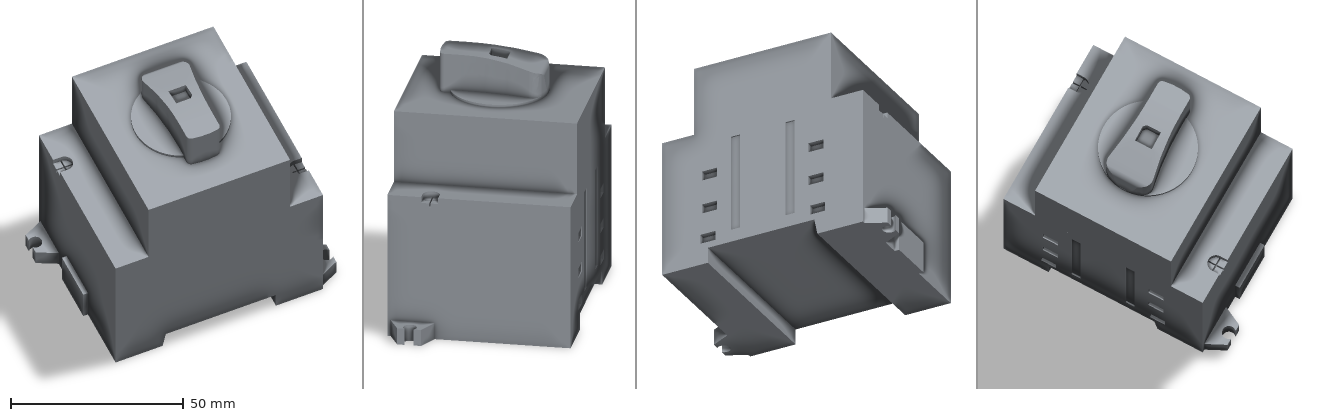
import cadquery as cq
import math

width = 54.0
depth = 66.0
total_depth = 78.0
total_height = 78.0
base_top = 15.0
module_height = 11.0
module_count = 2
flange_top = 44.0
block_top = 66.0
block_depth = 45.0
modules_top = base_top + module_count * module_height

notch_height = 5.0
notch_half = 18.0
notch_front_flare = 1.0
tab_width = 15.0
tab_height = 10.0
tab_thickness = 1.5
ear_thickness = notch_height
ear_offset = 19.5
ear_root_width = 13.0
ear_tip_width = 7.0
ear_length = (total_depth - depth) / 2
ear_hole_diameter = 4.0
ear_hole_from_tip = 1.5

window_width = 5.0
window_height = 3.0
window_depth = 2.0
base_window_offset = 18.0
base_window_z = 8.5
module_window_offset = 17.5
module_window_above_floor = 3.5
groove_width = 3.0
groove_offset = 9.0
groove_bottom = 9.0
groove_top = 40.0
groove_depth = 0.5

screw_offset = 14.5
screw_diameter = 5.0
screw_recess_depth = 1.8
cross_width = 0.5
cross_depth = 1.2

disc_diameter = 29.0
disc_height = 0.85
grip_nose_half = 7.8
grip_nose_fillet = 3.0
grip_tail_half = 5.2
grip_tail_start = 10.3
grip_tail_end = 17.15
grip_tail_bulge = 0.6
grip_tail_fillet = 1.5
grip_arch_radius = 74.1
nose_lean = 0.7
nose_edge_fillet = 2.0
grip_pocket_size = 5.5
grip_pocket_depth = 4.0
grip_pocket_corner = 0.9


def box(size_x, size_y, z_low, z_high):
    """Rectangular block centred on the Z axis."""
    return cq.Workplane("XY").workplane(offset=z_low).rect(size_x, size_y).extrude(z_high - z_low)


def side_pocket(y, z_low, z_high, pocket_width, pocket_cut):
    """Cutter for a rectangular pocket in the left (-X) face."""
    cutter = cq.Workplane("XY").box(pocket_cut, pocket_width, z_high - z_low, centered=(False, True, False))
    return cutter.translate((-width / 2, y, z_low))


def cut_side_details(body, window_y, window_z):
    """Cut the pair of windows centred at height window_z, then the grooves."""
    z_low = window_z - window_height / 2
    z_high = window_z + window_height / 2
    for side in (-1, 1):
        body = body.cut(side_pocket(side * window_y, z_low, z_high, window_width, window_depth))
    return cut_grooves(body)


def cut_grooves(body):
    """Cut the part of the two long vertical grooves that crosses this body."""
    for side in (-1, 1):
        body = body.cut(side_pocket(side * groove_offset, groove_bottom, groove_top, groove_width, groove_depth))
    return body


def make_ear():
    """Front mounting ear: tapered plate with a hole open at its tip."""
    root_y = -depth / 2
    tip_y = root_y - ear_length
    plate = (
        cq.Workplane("XY")
        .polyline([
            (-ear_offset - ear_root_width / 2, root_y),
            (-ear_offset - ear_tip_width / 2, tip_y),
            (-ear_offset + ear_tip_width / 2, tip_y),
            (-ear_offset + ear_root_width / 2, root_y),
        ])
        .close()
        .extrude(ear_thickness)
    )
    hole = (
        cq.Workplane("XY")
        .center(-ear_offset, tip_y + ear_hole_from_tip)
        .circle(ear_hole_diameter / 2)
        .extrude(ear_thickness)
    )
    return plate.cut(hole)


def make_tab():
    """Release tab standing on the front face of the base."""
    return box(tab_width, tab_thickness, 0, tab_height).translate((0, -(depth + tab_thickness) / 2, 0))


def make_base():
    """Bottom layer with the rail notch; its front notch wall flares outward going down."""
    base = box(width, depth, 0, base_top)
    notch = (
        cq.Workplane("YZ")
        .polyline([
            (notch_half, 0),
            (notch_half, notch_height),
            (-notch_half + notch_front_flare, notch_height),
            (-notch_half, 0),
        ])
        .close()
        .extrude(width / 2, both=True)
    )
    return cut_side_details(base.cut(notch), base_window_offset, base_window_z)


def make_module(z_low):
    """One middle layer of the stack."""
    module = box(width, depth, z_low, z_low + module_height)
    return cut_side_details(module, module_window_offset, z_low + module_window_above_floor)


def make_screw_recess():
    """Cutter for the front U-shaped recess with a cross slot in its floor."""
    radius = screw_diameter / 2
    centre_y = -depth / 2 + radius
    floor_z = flange_top - screw_recess_depth
    plane = cq.Workplane("XY").workplane(offset=floor_z).center(-screw_offset, centre_y)
    recess = plane.circle(radius).extrude(screw_recess_depth)
    recess = recess.union(plane.center(0, -radius / 2).rect(screw_diameter, radius).extrude(screw_recess_depth))
    recess = recess.union(plane.rect(cross_width, screw_diameter).extrude(-cross_depth))
    return recess.union(plane.rect(screw_diameter, cross_width).extrude(-cross_depth))


def make_flange():
    """Top layer of the stack with two diagonally opposite screw recesses."""
    flange = cut_grooves(box(width, depth, modules_top, flange_top))
    recess = make_screw_recess()
    for angle in (0, 180):
        flange = flange.cut(recess.rotate((0, 0, 0), (0, 0, 1), angle))
    return flange


def make_grip_plan():
    """Grip outline extruded to full height: rounded nose, flared waist and a straight tail."""
    nose_radius = disc_diameter / 2
    corner_x = -math.sqrt(nose_radius ** 2 - grip_nose_half ** 2)
    waist_length = grip_tail_start - corner_x
    waist_flare = grip_nose_half - grip_tail_half
    waist_radius = (waist_length ** 2 + waist_flare ** 2) / (2 * waist_flare)
    waist_mid_x = grip_tail_start - waist_length / 2
    waist_mid_half = grip_tail_half + waist_radius - math.sqrt(waist_radius ** 2 - (waist_length / 2) ** 2)
    tail_corner_x = grip_tail_end - grip_tail_bulge
    plan = (
        cq.Workplane("XY").workplane(offset=block_top)
        .moveTo(tail_corner_x, grip_tail_half)
        .threePointArc((grip_tail_end, 0), (tail_corner_x, -grip_tail_half))
        .lineTo(grip_tail_start, -grip_tail_half)
        .threePointArc((waist_mid_x, -waist_mid_half), (corner_x, -grip_nose_half))
        .threePointArc((-nose_radius, 0), (corner_x, grip_nose_half))
        .threePointArc((waist_mid_x, waist_mid_half), (grip_tail_start, grip_tail_half))
        .close()
        .extrude(total_height - block_top)
    )
    plan = plan.edges("|Z").edges("<X").fillet(grip_nose_fillet)
    return plan.edges("|Z").edges(">X").fillet(grip_tail_fillet)


def make_grip_profile():
    """Side profile of the grip: leaning nose, rounded edge, long arch and a flat tail."""
    nose_x = -disc_diameter / 2
    nose_top_x = nose_x + nose_lean
    arch_length = grip_tail_start - nose_top_x
    arch_centre_z = total_height - grip_arch_radius

    def arch_z(x):
        """Height of the arch, which ends level with the tail."""
        return arch_centre_z + math.sqrt(grip_arch_radius ** 2 - (grip_tail_start - x) ** 2)

    arch_mid_x = grip_tail_start - arch_length / 2
    profile = (
        cq.Workplane("XZ")
        .moveTo(nose_x, block_top)
        .lineTo(nose_top_x, arch_z(nose_top_x))
        .threePointArc((arch_mid_x, arch_z(arch_mid_x)), (grip_tail_start, total_height))
        .lineTo(grip_tail_end, total_height)
        .lineTo(grip_tail_end, block_top)
        .close()
        .extrude(disc_diameter / 2, both=True)
    )
    nose_edge = cq.selectors.NearestToPointSelector((nose_top_x, 0, arch_z(nose_top_x)))
    return profile.edges("|Y").edges(nose_edge).fillet(nose_edge_fillet)


def make_block():
    """Raised block that carries the knob."""
    return box(width, block_depth, flange_top, block_top)


def make_disc():
    """Round base plate of the knob."""
    return cq.Workplane("XY").workplane(offset=block_top).circle(disc_diameter / 2).extrude(disc_height)


def make_grip(disc):
    """Grip standing on the disc, with its tail hanging over the rim down to the block."""
    pocket = box(grip_pocket_size, grip_pocket_size, total_height - grip_pocket_depth, total_height)
    pocket = pocket.edges("|Z").edges(">(1, 1, 0)").chamfer(grip_pocket_corner)
    return make_grip_plan().intersect(make_grip_profile()).cut(pocket).cut(disc)


base = make_base()
ears = [make_ear().rotate((0, 0, 0), (0, 0, 1), angle) for angle in (0, 180)]
tab = make_tab()
modules = [make_module(base_top + i * module_height) for i in range(module_count)]
flange = make_flange()
block = make_block()
disc = make_disc()
grip = make_grip(disc)

result = cq.Compound.makeCompound([
    base.val(),
    *[ear.val() for ear in ears],
    tab.val(),
    *[module.val() for module in modules],
    flange.val(),
    block.val(),
    disc.val(),
    grip.val(),
])